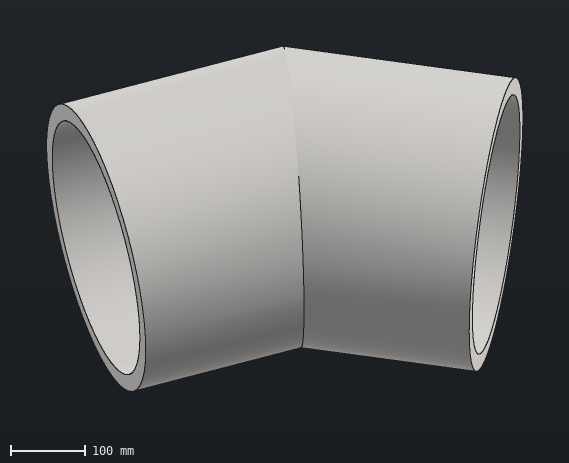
import cadquery as cq
import math

outer_diameter = 400.0
wall_thickness = 23.7
bend_angle = 30.0
leg_length = 279.74

inner_diameter = outer_diameter - 2 * wall_thickness
bend = math.radians(bend_angle)

inlet_centre = (0.0, 0.0)
mitre_centre = (0.0, leg_length)
outlet_centre = (
    leg_length * math.sin(bend),
    leg_length * (1 + math.cos(bend)),
)


def mitred_bar(diameter):
    """Solid round bar following the pipe axis, with a sharp mitre at the bend."""
    axis = cq.Workplane("XY").polyline([inlet_centre, mitre_centre, outlet_centre])
    return cq.Workplane("XZ").circle(diameter / 2).sweep(axis, transition="right")


result = mitred_bar(outer_diameter).cut(mitred_bar(inner_diameter))